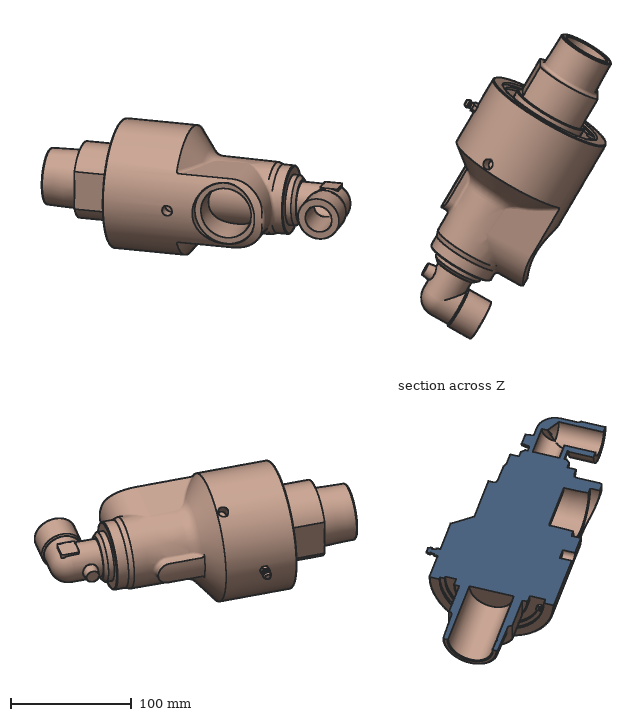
import cadquery as cq
import math

TOTAL_LENGTH = 260.2
OVERLAP = 1.3

NOSE_TIP_RADIUS = 23.7
NOSE_ROOT_RADIUS = 24.5
NOSE_CHAMFER = 1.0
NOSE_LENGTH = 27.0
HUB_START = 29.7
HUB_RADIUS = 64.0 / 2
FLAT_END = 58.8
GROOVE_END = 59.5
GROOVE_RADIUS = 31.2
FLAT_WIDTH = 55.0
ROTOR_BORE_RADIUS = 38.0 / 2
ROTOR_BORE_DEPTH = 61.1
ROTOR_BORE_CHAMFER = 0.8

BODY_START = 61.1
BODY_END = 122.3
BODY_RADIUS = 108.0 / 2
BODY_CHAMFER = 0.8
CONE_END = 141.0
CONE_FILLET = 12.5
NECK_RADIUS = 30.7
NECK_END = 194.4
NECK_END_RADIUS = 30.2
COLLAR_START = 198.8
COLLAR_RADIUS = 28.5
COLLAR_END = 209.0
COLLAR_CHAMFER = 0.8

RING_RADIUS = 90.0 / 2
RING_INNER_RADIUS = 41.0
RING_THICKNESS = 2.0
EAR_Y = -41.6
EAR_Z = 11.7
EAR_RADIUS = 4.0
EAR_HOLE_RADIUS = 3.0 / 2

PORT_X = 165.2
PORT_RIM_RADIUS = 53.5 / 2
PORT_FLOOR_Y = -45.8
PORT_CORE_RADIUS = 24.7
PORT_MOUTH_RADIUS = 43.2 / 2
PORT_BORE_RADIUS = 21.0
PORT_TAPER_END_Y = -29.7
PORT_HALF_HEIGHT = 30.2
PORT_ROUND_X = 170.2
PORT_ROOT_FILLET = 3.0
PORT_EDGE_FILLET = 2.5

PAD_RADIUS = 37.5
PAD_HALF_WIDTH = 10.0
PAD_ROUND_X = 166.0
PAD_ROOT_FILLET = 2.5

WEEP_RADIUS = 8.5 / 2
WEEP_X = 116.8
WEEP_DEPTH = 10.5
WEEP_COUNT = 3

NIPPLE_X = 89.2
NIPPLE_TIP_Y = 118.1 - BODY_RADIUS
NIPPLE_HEX_Y = 57.2
NIPPLE_HEX_FLATS = 7.0
NIPPLE_STEM_RADIUS = 5.5 / 2
NIPPLE_BEAD_RADIUS = 3.5
NIPPLE_WAIST_RADIUS = 2.0
NIPPLE_TIP_RADIUS = 2.3

SHOULDER_RADIUS = 21.0
SHOULDER_END = 217.0
SHOULDER_CHAMFER = 3.0
PIPE_RADIUS = 32.0 / 2
SOCKET_RADIUS = 35.0 / 2
SOCKET_START_Y = -16.0
SOCKET_END_Y = -38.5
SOCKET_CHAMFER = 1.3
ELBOW_X = TOTAL_LENGTH - SOCKET_RADIUS
ELBOW_BORE_RADIUS = 22.6 / 2
DRILL_TIP_DEPTH = 6.5
SQUARE_PAD_SIDE = 15.4
SQUARE_PAD_CORNER = 1.8
PLUG_X = 228.0
PLUG_TIP_Y = 23.0
PLUG_ROOT_RADIUS = 6.8
PLUG_TIP_RADIUS = 5.5


def rod_x(radius, start, end):
    """Cylinder on the X axis."""
    return cq.Workplane("YZ").workplane(offset=start).circle(radius).extrude(end - start)


def rod_y(radius, x, start, end):
    """Cylinder parallel to Y, centred on the given X."""
    axis = cq.Vector(0, math.copysign(1, end - start), 0)
    return cq.Workplane(cq.Solid.makeCylinder(radius, abs(end - start), cq.Vector(x, start, 0), axis))


def round_ended_bar(start, round_x, half_height, y_start, y_end):
    """Bar along X with a half-round far end, seen along Y."""
    outline = (
        cq.Workplane("XZ", origin=(0, y_end, 0))
        .moveTo(start, -half_height)
        .lineTo(round_x, -half_height)
        .threePointArc((round_x + half_height, 0), (round_x, half_height))
        .lineTo(start, half_height)
        .close()
    )
    return outline.extrude(y_end - y_start)


def turned_housing():
    cone_angle = math.atan2(BODY_RADIUS - NECK_RADIUS, CONE_END - BODY_END)
    tangent = CONE_FILLET * math.tan(cone_angle / 2)
    fillet_end = CONE_END + tangent
    fillet_start = CONE_END - tangent * math.cos(cone_angle)
    fillet_start_radius = NECK_RADIUS + tangent * math.sin(cone_angle)
    middle_x = fillet_end - CONE_FILLET * math.sin(cone_angle / 2)
    middle_radius = NECK_RADIUS + CONE_FILLET * (1 - math.cos(cone_angle / 2))
    return (
        cq.Workplane("XY")
        .moveTo(BODY_START, 0)
        .lineTo(BODY_START, BODY_RADIUS - BODY_CHAMFER)
        .lineTo(BODY_START + BODY_CHAMFER, BODY_RADIUS)
        .lineTo(BODY_END, BODY_RADIUS)
        .lineTo(fillet_start, fillet_start_radius)
        .threePointArc((middle_x, middle_radius), (fillet_end, NECK_RADIUS))
        .lineTo(NECK_END, NECK_END_RADIUS)
        .lineTo(COLLAR_START, COLLAR_RADIUS)
        .lineTo(COLLAR_END - COLLAR_CHAMFER, COLLAR_RADIUS)
        .lineTo(COLLAR_END, COLLAR_RADIUS - COLLAR_CHAMFER)
        .lineTo(COLLAR_END, 0)
        .close()
        .revolve(360, (0, 0, 0), (1, 0, 0))
    )


def edges_between(body, corner, opposite_corner):
    """Edges centred inside a box, leaving out those parallel to Y."""
    return body.edges(cq.selectors.BoxSelector(corner, opposite_corner)).edges("not |Y")


def add_port(body):
    """Join the port bar, whose round end has a softened rim, and round its root."""
    start = BODY_END - 5.2
    straight = cq.Workplane("XY").box(
        PORT_ROUND_X - start, BODY_RADIUS, 2 * PORT_HALF_HEIGHT, centered=(False, False, True)
    )
    straight = straight.translate((start, -BODY_RADIUS, 0))
    round_end = rod_y(PORT_HALF_HEIGHT, PORT_ROUND_X, 0, -BODY_RADIUS)
    round_end = round_end.faces("<Y").edges().fillet(PORT_EDGE_FILLET)
    far_half = cq.Workplane("XY").box(
        PORT_HALF_HEIGHT, BODY_RADIUS, 2 * PORT_HALF_HEIGHT, centered=(False, False, True)
    )
    far_half = far_half.translate((PORT_ROUND_X, -BODY_RADIUS, 0))
    bar = straight.union(round_end.intersect(far_half))
    bar = bar.intersect(rod_x(BODY_RADIUS, start, TOTAL_LENGTH))
    side = PORT_HALF_HEIGHT + OVERLAP
    shoulder_y = -math.sqrt(BODY_RADIUS**2 - PORT_HALF_HEIGHT**2)
    root = edges_between(
        body.union(bar),
        (BODY_END + OVERLAP, shoulder_y + OVERLAP, -side),
        (COLLAR_END - OVERLAP, -OVERLAP, side),
    )
    return root.fillet(PORT_ROOT_FILLET)


def add_pad(body):
    """Join the raised pad and round its root."""
    start = BODY_END - 5.2
    bar = round_ended_bar(start, PAD_ROUND_X, PAD_HALF_WIDTH, 0, BODY_RADIUS)
    bar = bar.intersect(rod_x(PAD_RADIUS, start, TOTAL_LENGTH))
    side = PAD_HALF_WIDTH + OVERLAP
    root = edges_between(
        body.union(bar),
        (CONE_END + OVERLAP, NECK_RADIUS / 2, -side),
        (NECK_END - OVERLAP, NECK_RADIUS + OVERLAP, side),
    )
    return root.fillet(PAD_ROOT_FILLET)


def retaining_ring_recess():
    """Cutter for the stepped front recess, leaving the open ring with its two ears."""
    ring_face = BODY_START + RING_THICKNESS
    ring_back = ring_face + RING_THICKNESS
    recess = rod_x(RING_RADIUS, BODY_START - OVERLAP, ring_back)
    ring = rod_x(RING_RADIUS + OVERLAP, ring_face, ring_back)
    ring = ring.cut(rod_x(RING_INNER_RADIUS, ring_face, ring_back))
    gap_width = BODY_RADIUS
    gap = cq.Workplane("XY").box(2 * ring_back, gap_width, 2 * EAR_Z)
    ring = ring.cut(gap.translate((0, -RING_INNER_RADIUS, 0)))
    ears = cq.Workplane("YZ", origin=(ring_face, 0, 0)).pushPoints([(EAR_Y, -EAR_Z), (EAR_Y, EAR_Z)])
    ring = ring.union(ears.circle(EAR_RADIUS).extrude(RING_THICKNESS))
    ring = ring.cut(ears.circle(EAR_HOLE_RADIUS).extrude(RING_THICKNESS))
    return recess.cut(ring)


def port_bore():
    """Cutter for the port, whose floor is the outside of a round core."""
    rim = rod_y(PORT_RIM_RADIUS, PORT_X, -BODY_RADIUS - OVERLAP, PORT_FLOOR_Y)
    taper = cq.Workplane(
        cq.Solid.makeCone(
            PORT_MOUTH_RADIUS,
            PORT_BORE_RADIUS,
            PORT_TAPER_END_Y - PORT_FLOOR_Y,
            cq.Vector(PORT_X, PORT_FLOOR_Y, 0),
            cq.Vector(0, 1, 0),
        )
    )
    bore = rod_y(PORT_BORE_RADIUS, PORT_X, PORT_TAPER_END_Y, 0)
    core = rod_x(PORT_CORE_RADIUS, BODY_END, COLLAR_END)
    return rim.union(taper).union(bore.cut(core))


def weep_holes():
    hole = rod_y(WEEP_RADIUS, WEEP_X, -BODY_RADIUS - OVERLAP, -BODY_RADIUS + WEEP_DEPTH)
    holes = hole
    for index in range(1, WEEP_COUNT):
        holes = holes.union(hole.rotate((0, 0, 0), (1, 0, 0), index * 360 / WEEP_COUNT))
    return holes


def rotor():
    fillet = HUB_START - NOSE_LENGTH
    diagonal = fillet * math.sqrt(0.5)
    turned = (
        cq.Workplane("XY")
        .lineTo(0, NOSE_TIP_RADIUS - NOSE_CHAMFER)
        .lineTo(NOSE_CHAMFER, NOSE_TIP_RADIUS)
        .lineTo(NOSE_LENGTH, NOSE_ROOT_RADIUS)
        .threePointArc(
            (NOSE_LENGTH + diagonal, NOSE_ROOT_RADIUS + fillet - diagonal),
            (HUB_START, NOSE_ROOT_RADIUS + fillet),
        )
        .lineTo(HUB_START, HUB_RADIUS)
        .lineTo(FLAT_END, HUB_RADIUS)
        .lineTo(FLAT_END, GROOVE_RADIUS)
        .lineTo(GROOVE_END, GROOVE_RADIUS)
        .lineTo(GROOVE_END, HUB_RADIUS)
        .lineTo(BODY_END, HUB_RADIUS)
        .lineTo(BODY_END, 0)
        .close()
        .revolve(360, (0, 0, 0), (1, 0, 0))
    )
    flat_length = FLAT_END - HUB_START
    keep = cq.Workplane("XY").box(flat_length, FLAT_WIDTH, 2 * HUB_RADIUS)
    chips = cq.Workplane("XY").box(flat_length, 2 * BODY_RADIUS, 2 * BODY_RADIUS).cut(keep)
    return turned.cut(chips.translate((HUB_START + flat_length / 2, 0, 0)))


def rotor_bore():
    mouth = cq.Workplane("XY").lineTo(0, ROTOR_BORE_RADIUS + ROTOR_BORE_CHAMFER)
    outline = mouth.lineTo(ROTOR_BORE_CHAMFER, ROTOR_BORE_RADIUS).lineTo(ROTOR_BORE_DEPTH, ROTOR_BORE_RADIUS)
    return outline.lineTo(ROTOR_BORE_DEPTH, 0).close().revolve(360, (0, 0, 0), (1, 0, 0))


def grease_nipple():
    hex_base = (
        cq.Workplane("XZ", origin=(NIPPLE_X, NIPPLE_HEX_Y, 0))
        .polygon(6, NIPPLE_HEX_FLATS / math.cos(math.pi / 6))
        .extrude(NIPPLE_HEX_Y - BODY_RADIUS + OVERLAP)
    )
    head = NIPPLE_TIP_Y - NIPPLE_HEX_Y
    tip = (
        cq.Workplane("XY", origin=(NIPPLE_X, NIPPLE_HEX_Y, 0))
        .moveTo(0, -OVERLAP)
        .lineTo(NIPPLE_STEM_RADIUS, -OVERLAP)
        .lineTo(NIPPLE_STEM_RADIUS, 0.3 * head)
        .lineTo(NIPPLE_WAIST_RADIUS, 0.45 * head)
        .lineTo(NIPPLE_BEAD_RADIUS, 0.5 * head)
        .lineTo(NIPPLE_BEAD_RADIUS, 0.7 * head)
        .lineTo(NIPPLE_TIP_RADIUS, head)
        .lineTo(0, head)
        .close()
        .revolve(360, (0, 0, 0), (0, 1, 0))
    )
    return hex_base.union(tip)


def elbow():
    shoulder = rod_x(SHOULDER_RADIUS, COLLAR_END - OVERLAP, SHOULDER_END)
    shoulder = shoulder.faces(">X").chamfer(SHOULDER_CHAMFER)
    run = rod_x(PIPE_RADIUS, COLLAR_END, ELBOW_X)
    corner = cq.Workplane("XY").sphere(PIPE_RADIUS).translate((ELBOW_X, 0, 0))
    drop = rod_y(PIPE_RADIUS, ELBOW_X, 0, SOCKET_START_Y - OVERLAP)
    socket = rod_y(SOCKET_RADIUS, ELBOW_X, SOCKET_START_Y, SOCKET_END_Y)
    socket = socket.faces(">Y").chamfer(SOCKET_CHAMFER)
    square_pad = (
        cq.Workplane("XY", origin=(ELBOW_X, 0, 0))
        .rect(SQUARE_PAD_SIDE, SQUARE_PAD_SIDE)
        .extrude(PIPE_RADIUS)
        .edges("|Z")
        .fillet(SQUARE_PAD_CORNER)
    )
    plug_length = PLUG_TIP_Y - PIPE_RADIUS + OVERLAP
    plug = cq.Workplane(
        cq.Solid.makeCone(
            PLUG_ROOT_RADIUS,
            PLUG_TIP_RADIUS,
            plug_length,
            cq.Vector(PLUG_X, PLUG_TIP_Y - plug_length, 0),
            cq.Vector(0, 1, 0),
        )
    )
    return shoulder.union(run).union(corner).union(drop).union(socket).union(square_pad).union(plug)


def elbow_bore():
    outlet = rod_y(ELBOW_BORE_RADIUS, ELBOW_X, SOCKET_END_Y - OVERLAP, 0)
    drill_tip = cq.Solid.makeCone(
        ELBOW_BORE_RADIUS, 0, DRILL_TIP_DEPTH, cq.Vector(ELBOW_X, 0, 0), cq.Vector(0, 1, 0)
    )
    return outlet.union(cq.Workplane(drill_tip)).union(rod_x(ELBOW_BORE_RADIUS, SHOULDER_END, ELBOW_X))


result = (
    add_pad(add_port(turned_housing()))
    .cut(retaining_ring_recess())
    .cut(port_bore())
    .cut(weep_holes())
    .union(rotor())
    .cut(rotor_bore())
    .union(grease_nipple())
    .union(elbow())
    .cut(elbow_bore())
)